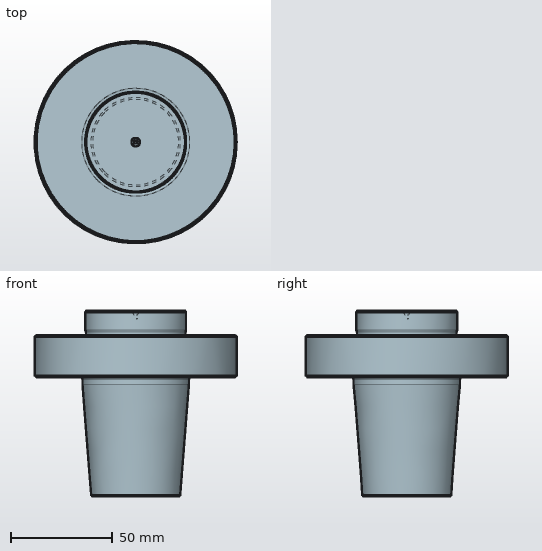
import cadquery as cq
import math

total_height = 92.0
flange_bottom = 59.0
flange_thickness = 21.0
flange_top = flange_bottom + flange_thickness

flange_radius = 50.0
boss_radius = 25.0
shank_tip_radius = 22.1
shank_top_radius = 26.4
edge_chamfer = 1.0
boss_chamfer_width = 0.6
tip_chamfer = 0.9

collar_bottom = flange_bottom - 3.5
lip_height = 1.0
lip_radius = 26.7

undercut_depth = 0.3
undercut_boss_start = flange_top + 2.5
undercut_boss_end = flange_top + 1.4
undercut_floor = flange_top - 0.2
undercut_fillet = 0.5
undercut_outer_radius = 26.7
undercut_radius = boss_radius - undercut_depth
undercut_floor_radius = undercut_radius + undercut_fillet

countersink_diameter = 4.2
pilot_diameter = 1.6
countersink_angle = 60
pilot_depth = 4.0
drill_point_angle = 118


def turned_body():
    """Shank, flange and boss as one revolved half profile."""
    return (
        cq.Workplane("XZ")
        .lineTo(shank_tip_radius - tip_chamfer, 0)
        .lineTo(shank_tip_radius, tip_chamfer)
        .lineTo(shank_top_radius, collar_bottom)
        .lineTo(shank_top_radius, flange_bottom - lip_height)
        .lineTo(lip_radius, flange_bottom)
        .lineTo(flange_radius - edge_chamfer, flange_bottom)
        .lineTo(flange_radius, flange_bottom + edge_chamfer)
        .lineTo(flange_radius, flange_top - edge_chamfer)
        .lineTo(flange_radius - edge_chamfer, flange_top)
        .lineTo(undercut_outer_radius, flange_top)
        .lineTo(undercut_floor_radius, undercut_floor)
        .tangentArcPoint(
            (undercut_radius, undercut_floor + undercut_fillet), relative=False
        )
        .lineTo(undercut_radius, undercut_boss_end)
        .lineTo(boss_radius, undercut_boss_start)
        .lineTo(boss_radius, total_height - edge_chamfer)
        .lineTo(boss_radius - boss_chamfer_width, total_height)
        .lineTo(0, total_height)
        .close()
        .revolve(360, (0, 0, 0), (0, 1, 0))
    )


def centre_hole():
    """Countersink, pilot bore and pointed bottom as one revolved cutter."""
    countersink_radius = countersink_diameter / 2
    pilot_radius = pilot_diameter / 2
    countersink_depth = (countersink_radius - pilot_radius) / math.tan(math.radians(countersink_angle / 2))
    point_depth = pilot_radius / math.tan(math.radians(drill_point_angle / 2))
    return (
        cq.Workplane("XZ", origin=(0, 0, total_height))
        .lineTo(countersink_radius, 0)
        .lineTo(pilot_radius, -countersink_depth)
        .lineTo(pilot_radius, -pilot_depth)
        .lineTo(0, -pilot_depth - point_depth)
        .close()
        .revolve(360, (0, 0, 0), (0, 1, 0))
    )


result = turned_body().cut(centre_hole())